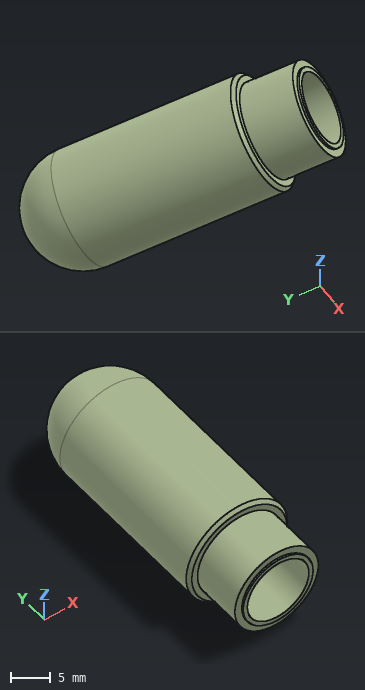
import cadquery as cq
import math

total_length = 42.5
body_diameter = 16.0
neck_diameter = 13.18
lip_diameter = 11.0
bore_diameter = 9.7
lip_length = 0.3
shoulder_y = 8.0
shoulder_chamfer = 0.5

body_radius = body_diameter / 2
neck_radius = neck_diameter / 2
lip_radius = lip_diameter / 2
bore_radius = bore_diameter / 2
dome_center_y = total_length - body_radius
diagonal = math.sqrt(0.5)


def revolve_about_y(profile):
    """Turn a closed half-profile in the XY plane into a solid about Y."""
    return profile.close().revolve(360, (0, 0, 0), (0, 1, 0))


def make_outer_body():
    """Stepped cylinder with a chamfered shoulder and a hemispherical end."""
    profile = (
        cq.Workplane("XY")
        .lineTo(lip_radius, 0)
        .lineTo(lip_radius, lip_length)
        .lineTo(neck_radius, lip_length)
        .lineTo(neck_radius, shoulder_y)
        .lineTo(body_radius - shoulder_chamfer, shoulder_y)
        .lineTo(body_radius, shoulder_y + shoulder_chamfer)
        .lineTo(body_radius, dome_center_y)
        .threePointArc(
            (body_radius * diagonal, dome_center_y + body_radius * diagonal),
            (0, total_length),
        )
    )
    return revolve_about_y(profile)


def make_bore():
    """Round bore whose hemispherical end is concentric with the outer dome."""
    profile = (
        cq.Workplane("XY")
        .lineTo(bore_radius, 0)
        .lineTo(bore_radius, dome_center_y)
        .threePointArc(
            (bore_radius * diagonal, dome_center_y + bore_radius * diagonal),
            (0, dome_center_y + bore_radius),
        )
    )
    return revolve_about_y(profile)


result = make_outer_body().cut(make_bore())